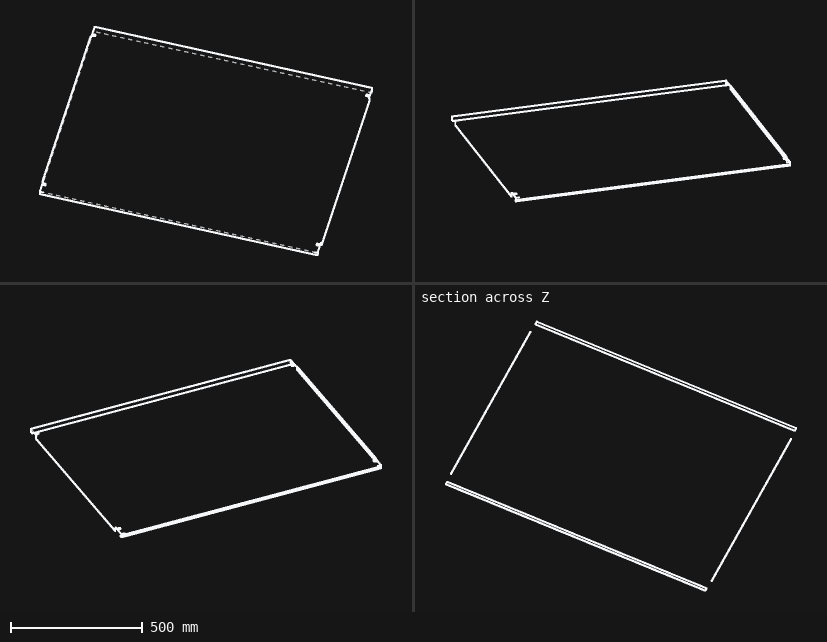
import cadquery as cq

LENGTH = 1099.0
WIDTH = 800.0
HEIGHT = 15.0
SHEET = 1.5
BEND_RADIUS = 2.0
LONG_LIP = 13.0
SIDE_FLANGE_SPAN = 698.0
CORNER_SETBACK = 3.0

TAB_DEPTH = 13.0
TAB_DROP = 0.8
TAB_STEP_RUN = 7.0
SLOT_WIDTH = 8.0
SLOT_BRIDGE = 1.6
SLOT_FROM_EDGE = 36.0

panel_length = LENGTH - 2 * CORNER_SETBACK
bend_inside = BEND_RADIUS - SHEET


def long_edge_channel():
    """Top sheet with both long edges folded down and back under."""
    outer = (
        cq.Workplane("XY")
        .box(panel_length, WIDTH, HEIGHT, centered=(True, True, False))
        .edges("|X")
        .fillet(BEND_RADIUS)
    )
    inner = (
        cq.Workplane("XY")
        .workplane(offset=SHEET)
        .box(panel_length, WIDTH - 2 * SHEET, HEIGHT - 2 * SHEET, centered=(True, True, False))
        .edges("|X")
        .fillet(bend_inside)
    )
    mouth = cq.Workplane("XY").box(
        panel_length, WIDTH - 2 * LONG_LIP, HEIGHT / 2, centered=(True, True, False)
    )
    return outer.cut(inner).cut(mouth)


def rounded_side_block(length, height, radius):
    """Solid block over the side flange span, with its short top edges rounded."""
    return (
        cq.Workplane("XY")
        .box(length, SIDE_FLANGE_SPAN, height, centered=(True, True, False))
        .edges("|Y and >Z")
        .fillet(radius)
    )


def side_outer():
    """Outer envelope of the folded short edges."""
    return rounded_side_block(LENGTH, HEIGHT, BEND_RADIUS)


def side_flanges():
    """Top sheet strip with both short edges folded straight down."""
    inner = rounded_side_block(LENGTH - 2 * SHEET, HEIGHT - SHEET, bend_inside)
    return side_outer().cut(inner)


def side_flange_clearance():
    """Material of the square sheet end that lies outside the side folds."""
    block = cq.Workplane("XY").box(LENGTH, SIDE_FLANGE_SPAN, HEIGHT, centered=(True, True, False))
    return block.cut(side_outer())


def at_four_corners(corner):
    """The given +X +Y corner solid, mirrored to all four corners."""
    pair = corner.union(corner.mirror("YZ"))
    return pair.union(pair.mirror("XZ"))


def corner_slot():
    """Opening between the +X +Y tab and the side flange."""
    y_outer = WIDTH / 2 - SLOT_FROM_EDGE
    return (
        cq.Workplane("XY")
        .box(TAB_DEPTH - SLOT_BRIDGE, SLOT_WIDTH, HEIGHT, centered=False)
        .translate((panel_length / 2 - TAB_DEPTH, y_outer - SLOT_WIDTH, 0))
    )


def tab_recess():
    """Wedge and slab above the lowered +X +Y tab, ending at the long-edge fold."""
    x_end = panel_length / 2
    x_start = x_end - TAB_DEPTH
    tab_width = SLOT_FROM_EDGE - BEND_RADIUS
    return (
        cq.Workplane("XZ", origin=(0, WIDTH / 2 - BEND_RADIUS, 0))
        .moveTo(x_start, HEIGHT)
        .lineTo(x_start + TAB_STEP_RUN, HEIGHT - TAB_DROP)
        .lineTo(x_end, HEIGHT - TAB_DROP)
        .lineTo(x_end, HEIGHT)
        .close()
        .extrude(tab_width)
    )


result = (
    long_edge_channel()
    .cut(side_flange_clearance())
    .union(side_flanges())
    .cut(at_four_corners(corner_slot()))
    .cut(at_four_corners(tab_recess()))
)